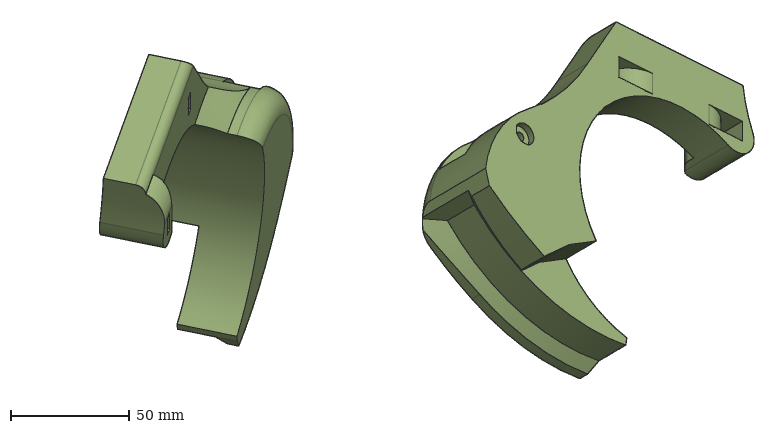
import cadquery as cq
import math

plate_width = 18.8
knob_width = 28.0
total_width = 45.0
overlap = 1.5

height = 149.7
bore_y, bore_z, bore_radius = 42.7, 65.9, 57.4
tip_radius = 10.0
tip_y, tip_z = tip_radius, 124.7
tip_middle_angle, tip_front_angle = -120, 160
belly_y, belly_radius = 69.5, 104.5
belly_z = belly_radius
top_front = (6.3, height)
top_back = (79.3, height)
neck_start = (95.8, 121.3)
neck_middle = (111.9, 99.2)
back_start_y, back_middle_y, back_end_y = 130.0, 146.9, 154.3
bar_front_middle = (3.7, 136.9)
heel = (152.2, 35.2)
heel_middle = (137.4, 23.8)
belly_start_y, belly_middle_y = 120.7, 95.7
toe_bottom_y = 58.6
toe_top_y = 55.7
toe_bend = (56.3, 6.2)

boss_y, boss_z, boss_radius = 96.0, 35.7, 58.8
boss_rounding = 10.0
boss_slope_end = 30.9

plate_end_top = (89.5, 35.0)
plate_end_bend = (106.2, 25.8)
plate_end_bottom = (120.7, 13.5)
plate_end_run_out = (124.2, 10.3)

groove_depth = 5.1
groove_start, groove_end = 14.2, 40.1
groove_side_run = 4.6

knob_top, knob_shoulder = 145.7, 131.6
knob_back, knob_side_back = 17.5, 13.9
knob_top_arc_middle = (25.3, 140.6)
knob_corner_arc_middle = (25.2, 16.5)
bar_rounding = 4.6

window_length = 19.1
strap_gap = 3.7
rear_window_y, rear_window_bottom, rear_window_top = 77.6, 122.5, 132.9
front_window_y, front_window_bottom, front_window_top = 6.8, 121.6, 131.5

pivot_y, pivot_z = 131.6, 70.4
pivot_diameter, counterbore_diameter, counterbore_depth = 4.2, 10.0, 3.1
pocket_y, pocket_z, pocket_radius = 145.8, 78.1, 16.7
pocket_end = 34.9
post_diameter = counterbore_diameter


def point_on_circle(center_y, center_z, radius, angle):
    return (center_y + radius * math.cos(angle), center_z + radius * math.sin(angle))


def lower_point(y, center_y, center_z, radius):
    """Point at the given Y on the lower half of a circle."""
    return (y, center_z - math.sqrt(radius**2 - (y - center_y)**2))


def upper_point(y, center_y, center_z, radius):
    """Point at the given Y on the upper half of a circle."""
    return (y, center_z + math.sqrt(radius**2 - (y - center_y)**2))


def hook_outline():
    """Full side outline: bore, rounded tip, straight bar, back and belly."""
    toward_bore = math.atan2(bore_z - tip_z, bore_y - tip_y)
    tip_bottom = point_on_circle(tip_y, tip_z, tip_radius, toward_bore)
    tip_middle = point_on_circle(tip_y, tip_z, tip_radius, math.radians(tip_middle_angle))
    tip_front = point_on_circle(tip_y, tip_z, tip_radius, math.radians(tip_front_angle))
    toe_top = lower_point(toe_top_y, bore_y, bore_z, bore_radius)
    toe_bottom = lower_point(toe_bottom_y, belly_y, belly_z, belly_radius)
    belly_middle = lower_point(belly_middle_y, belly_y, belly_z, belly_radius)
    belly_start = lower_point(belly_start_y, belly_y, belly_z, belly_radius)
    back_start = upper_point(back_start_y, boss_y, boss_z, boss_radius)
    back_middle = upper_point(back_middle_y, boss_y, boss_z, boss_radius)
    back_end = upper_point(back_end_y, boss_y, boss_z, boss_radius)
    return (
        cq.Workplane("YZ")
        .moveTo(*tip_bottom)
        .threePointArc(tip_middle, tip_front)
        .threePointArc(bar_front_middle, top_front)
        .lineTo(*top_back)
        .lineTo(*neck_start)
        .threePointArc(neck_middle, back_start)
        .threePointArc(back_middle, back_end)
        .lineTo(*heel)
        .threePointArc(heel_middle, belly_start)
        .threePointArc(belly_middle, toe_bottom)
        .lineTo(*toe_bend)
        .lineTo(*toe_top)
        .threePointArc((bore_y + bore_radius, bore_z), tip_bottom)
        .close()
    )


def plate():
    """Flat plate with a rounded upper edge, cut off above the lower finger."""
    body = hook_outline().extrude(plate_width)
    body = body.edges(
        cq.selectors.BoxSelector(
            (plate_width - overlap, 0, height - overlap),
            (plate_width + overlap, top_back[0], height + overlap),
        )
    ).fillet(bar_rounding)
    finger_side = (
        cq.Workplane("YZ")
        .polyline([plate_end_top, plate_end_bend, plate_end_bottom, plate_end_run_out,
                   (plate_end_run_out[0], -overlap), (0, -overlap), (0, plate_end_top[1])])
        .close()
        .extrude(plate_width)
    )
    return body.cut(finger_side)


def boss_and_finger():
    """Wide part of the hook: a round boss with a sloped shoulder, and the finger."""
    slope_run = boss_slope_end - plate_width
    rounding_start = total_width - boss_rounding
    rounding_offset = boss_rounding * math.sqrt(0.5)
    round_envelope = (
        cq.Workplane("XY", origin=(0, boss_y, boss_z))
        .moveTo(plate_width, 0)
        .lineTo(plate_width, boss_radius + slope_run)
        .lineTo(boss_slope_end, boss_radius)
        .lineTo(rounding_start, boss_radius)
        .threePointArc(
            (rounding_start + rounding_offset, boss_radius - boss_rounding + rounding_offset),
            (total_width, boss_radius - boss_rounding),
        )
        .lineTo(total_width, 0)
        .close()
        .revolve(360, (0, 0, 0), (1, 0, 0))
    )
    finger_envelope = cq.Workplane("XY").box(
        total_width - plate_width, boss_y, boss_z, centered=False
    ).translate((plate_width, 0, 0))
    wide_hook = hook_outline().extrude(total_width)
    return wide_hook.intersect(round_envelope.union(finger_envelope))


def belly_groove():
    """Trapezoidal groove around the belly arc, with sloping side walls."""
    floor_radius = belly_radius - groove_depth
    mouth_radius = belly_radius + groove_depth
    ring = (
        cq.Workplane("XY", origin=(0, belly_y, belly_z))
        .moveTo(groove_start + groove_side_run, floor_radius)
        .lineTo(groove_end - groove_side_run, floor_radius)
        .lineTo(groove_end + groove_side_run, mouth_radius)
        .lineTo(groove_start - groove_side_run, mouth_radius)
        .close()
        .revolve(360, (0, 0, 0), (1, 0, 0))
    )
    lower_zone = cq.Workplane("XY").box(
        total_width, heel[0] + overlap, heel[1] + 2 * overlap, centered=False
    )
    return ring.intersect(lower_zone)


def knob():
    """Widened tip, rounded over the top and at its rear corner."""
    front_section = (
        cq.Workplane("XZ")
        .lineTo(knob_width, 0)
        .lineTo(knob_width, knob_shoulder)
        .threePointArc(knob_top_arc_middle, (plate_width, knob_top))
        .lineTo(0, knob_top)
        .close()
        .extrude(-knob_back)
    )
    plan_section = (
        cq.Workplane("XY")
        .lineTo(knob_width, 0)
        .lineTo(knob_width, knob_side_back)
        .threePointArc(knob_corner_arc_middle, (plate_width, knob_back))
        .lineTo(0, knob_back)
        .close()
        .extrude(height)
    )
    tip = hook_outline().extrude(knob_width)
    return tip.intersect(front_section).intersect(plan_section)


def strap_window(outer_y, direction, bottom, top):
    """Window whose inner wall curves from the plate face to a narrow straight exit."""
    gap_y = outer_y + direction * strap_gap
    inner_y = outer_y + direction * window_length
    curve = window_length - strap_gap
    curve_offset = curve * math.sqrt(0.5)
    return (
        cq.Workplane("XY", origin=(0, 0, bottom))
        .moveTo(0, outer_y)
        .lineTo(0, inner_y)
        .threePointArc(
            (curve - curve_offset, inner_y - direction * curve_offset),
            (curve, gap_y),
        )
        .lineTo(total_width, gap_y)
        .lineTo(total_width, outer_y)
        .close()
        .extrude(top - bottom)
    )


def pivot_cylinder(diameter, depth):
    return cq.Workplane("YZ").center(pivot_y, pivot_z).circle(diameter / 2).extrude(depth)


def round_pocket():
    """Pocket open to the back, leaving a round post around the pivot axis."""
    pocket = (
        cq.Workplane("YZ", origin=(plate_width, 0, 0))
        .center(pocket_y, pocket_z)
        .circle(pocket_radius)
        .extrude(pocket_end - plate_width)
    )
    return pocket.cut(pivot_cylinder(post_diameter, pocket_end))


result = plate().union(boss_and_finger()).union(knob())
result = result.cut(belly_groove())
result = result.cut(strap_window(rear_window_y, -1, rear_window_bottom, rear_window_top))
result = result.cut(strap_window(front_window_y, 1, front_window_bottom, front_window_top))
result = result.cut(pivot_cylinder(counterbore_diameter, counterbore_depth))
result = result.cut(pivot_cylinder(pivot_diameter, plate_width + overlap))
result = result.cut(round_pocket())